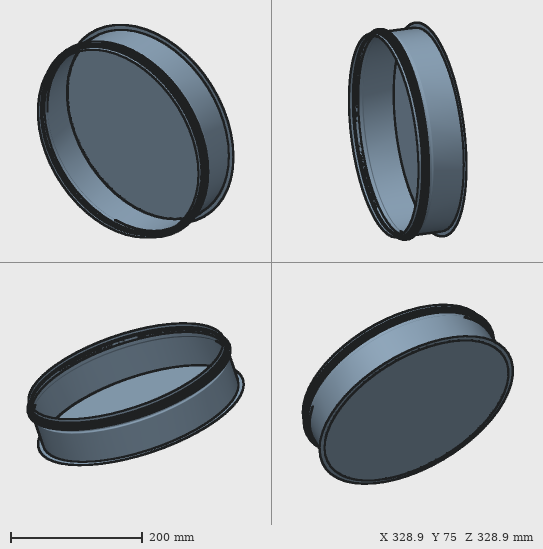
import cadquery as cq
import math

length = 75.0
back_y = length / 2
sheet = 0.5

tube_radius = 313.85 / 2
bore_radius = tube_radius - sheet
seat_radius = 310.25 / 2
seat_bore_radius = 309.05 / 2
rim_bore_radius = 308.05 / 2
flange_radius = 328.85 / 2
edge_round = 1.0
flange_thickness = 2 * edge_round
flange_bend = 0.5
neck_start = 50.35
neck_bend = 1.2
neck_angle = math.radians(40)
seat_end = 68.9
rim_bore_start = 67.0
rim_round = (tube_radius - rim_bore_radius) / 2
rim_start = length - rim_round

plate_thickness = flange_thickness

base_radius = 312.85 / 2
back_fin_radius = 324.25 / 2
front_fin_radius = 319.25 / 2
bead_radius = 316.85 / 2
fin_width = 1.0
fin_foot = 1.4
bead_width = 0.3
bead_foot = 0.7
back_fin_start = 60.0
front_fin_start = 64.1
front_bead_start = 66.3


def depth(distance):
    """Y coordinate at a distance from the closed back end."""
    return back_y - distance


def place(points):
    """Turn (radius, distance) pairs into XY points."""
    return [(radius, depth(distance)) for radius, distance in points]


def turn(outline):
    """Revolve a closed outline about the Y axis."""
    return outline.close().revolve(360, (0, 0, 0), (0, 1, 0))


def neck_curve(wide_radius, narrow_radius):
    """Points of the S-shaped neck: three on each bend, from the wide end to the narrow end."""
    bends = []
    for angle in (0, neck_angle / 2, neck_angle):
        bends.append((neck_bend * (1 - math.cos(angle)), neck_bend * math.sin(angle)))
    bend_drop, bend_run = bends[-1]
    drop = wide_radius - narrow_radius
    run = 2 * bend_run + (drop - 2 * bend_drop) / math.tan(neck_angle)
    first = [(wide_radius - dr, neck_start + dy) for dr, dy in bends]
    last = [(narrow_radius + dr, neck_start + run - dy) for dr, dy in reversed(bends)]
    return place(first + last)


def make_plate():
    corners = [(0, 0), (bore_radius, 0), (bore_radius, plate_thickness), (0, plate_thickness)]
    return turn(cq.Workplane("XY").polyline(place(corners)))


def make_tube():
    edge_centre = flange_radius - edge_round
    bend_centre = (tube_radius + flange_bend, flange_thickness + flange_bend)
    bend_reach = flange_bend * math.sqrt(0.5)

    back_edge, edge_middle, front_edge, bend_start, bend_middle, bend_end = place([
        (edge_centre, 0),
        (flange_radius, edge_round),
        (edge_centre, flange_thickness),
        (bend_centre[0], flange_thickness),
        (bend_centre[0] - bend_reach, bend_centre[1] - bend_reach),
        (tube_radius, bend_centre[1]),
    ])
    outer_neck = neck_curve(tube_radius, seat_radius)
    inner_neck = neck_curve(bore_radius, seat_bore_radius)
    inner_neck.reverse()
    rim_back = place([
        (seat_radius, seat_end),
        (tube_radius, seat_end),
        (tube_radius, rim_start),
    ])
    rim_tip, rim_inner_edge = place([
        (tube_radius - rim_round, length),
        (rim_bore_radius, rim_start),
    ])
    rim_bore = place([
        (rim_bore_radius, rim_bore_start),
        (seat_bore_radius, rim_bore_start),
    ])
    return turn(
        cq.Workplane("XY")
        .moveTo(bore_radius, depth(0))
        .lineTo(*back_edge)
        .threePointArc(edge_middle, front_edge)
        .lineTo(*bend_start)
        .threePointArc(bend_middle, bend_end)
        .lineTo(*outer_neck[0])
        .threePointArc(outer_neck[1], outer_neck[2])
        .lineTo(*outer_neck[3])
        .threePointArc(outer_neck[4], outer_neck[5])
        .polyline(rim_back, includeCurrent=True)
        .threePointArc(rim_tip, rim_inner_edge)
        .polyline(rim_bore, includeCurrent=True)
        .lineTo(*inner_neck[0])
        .threePointArc(inner_neck[1], inner_neck[2])
        .lineTo(*inner_neck[3])
        .threePointArc(inner_neck[4], inner_neck[5])
    )


def make_gasket():
    back_fin_end = back_fin_start + fin_width
    corners = [
        (seat_radius, back_fin_start),
        (back_fin_radius, back_fin_start),
        (back_fin_radius, back_fin_end),
        (bead_radius, back_fin_end),
        (bead_radius, back_fin_end + bead_width),
        (base_radius, back_fin_end + bead_foot),
        (base_radius, front_fin_start),
        (front_fin_radius, front_fin_start),
        (front_fin_radius, front_fin_start + fin_width),
        (base_radius, front_fin_start + fin_foot),
        (base_radius, front_bead_start),
        (bead_radius, front_bead_start),
        (bead_radius, front_bead_start + bead_width),
        (base_radius, front_bead_start + bead_foot),
        (base_radius, seat_end),
        (seat_radius, seat_end),
    ]
    return turn(cq.Workplane("XY").polyline(place(corners)))


plate = make_plate()
tube = make_tube()
gasket = make_gasket()

result = cq.Compound.makeCompound([plate.val(), tube.val(), gasket.val()])